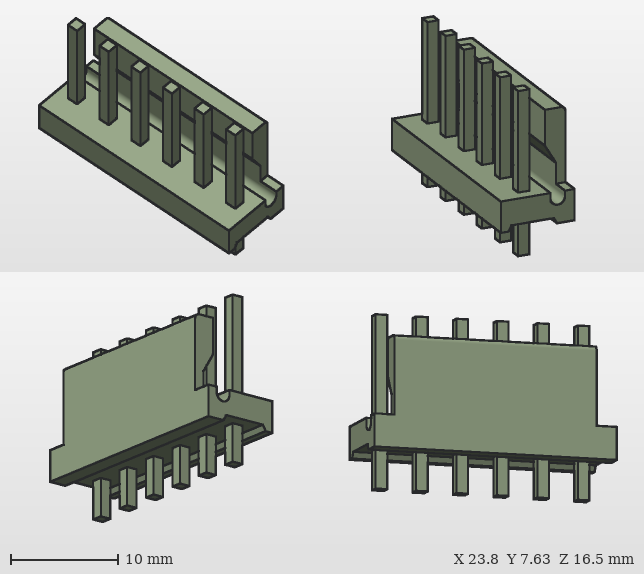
import cadquery as cq

pin_count = 6
length = 23.77
depth = 7.63
pitch = length / pin_count
back_y = depth / 2
front_y = -depth / 2

base_height = 3.14
recess_height = 0.57
recess_slope_run = 0.33
back_foot_width = 1.8
front_foot_width = 0.8

wall_thickness = 1.0
groove_width = 1.5
groove_depth = 1.28
groove_radius = groove_width / 2

latch_length = (pin_count - 1) * pitch
latch_top = 10.72
latch_head_thickness = 2.15
ramp_bottom = 5.23
ramp_top = 7.13
latch_edge_radius = 0.48

pin_size = 1.15
pin_offset_from_back = 4.59
pin_top = 13.29
pin_bottom = -3.23


def extrude_along_x(outline, extent):
    """Close a YZ outline and extrude it symmetrically about X = 0."""
    return outline.close().extrude(extent / 2, both=True)


def make_base():
    """Bar with a groove in the top and a tapered recess underneath."""
    groove_back = back_y - wall_thickness
    groove_front = groove_back - groove_width
    groove_bottom = base_height - groove_depth
    arc_start_z = groove_bottom + groove_radius
    back_foot_y = back_y - back_foot_width
    front_foot_y = front_y + front_foot_width
    outline = (
        cq.Workplane("YZ")
        .moveTo(back_y, 0)
        .lineTo(back_y, base_height)
        .lineTo(groove_back, base_height)
        .lineTo(groove_back, arc_start_z)
        .threePointArc((groove_back - groove_radius, groove_bottom), (groove_front, arc_start_z))
        .lineTo(groove_front, base_height)
        .lineTo(front_y, base_height)
        .lineTo(front_y, 0)
        .lineTo(front_foot_y, 0)
        .lineTo(front_foot_y + recess_slope_run, recess_height)
        .lineTo(back_foot_y - recess_slope_run, recess_height)
        .lineTo(back_foot_y, 0)
    )
    return extrude_along_x(outline, length)


def make_latch():
    """Upright wall with a thicker head and a rounded outer top edge."""
    wall_front = back_y - wall_thickness
    head_front = back_y - latch_head_thickness
    outline = (
        cq.Workplane("YZ")
        .moveTo(back_y, base_height)
        .lineTo(back_y, latch_top)
        .lineTo(head_front, latch_top)
        .lineTo(head_front, ramp_top)
        .lineTo(wall_front, ramp_bottom)
        .lineTo(wall_front, base_height)
    )
    latch = extrude_along_x(outline, latch_length)
    return latch.faces(">Y").edges(">Z").fillet(latch_edge_radius)


def make_pins():
    """Row of square pins passing through the base."""
    return (
        cq.Workplane("XY", origin=(0, back_y - pin_offset_from_back, pin_bottom))
        .rarray(pitch, 0.24, pin_count, 1)
        .rect(pin_size, pin_size)
        .extrude(pin_top - pin_bottom)
    )


result = make_base().union(make_latch()).union(make_pins())